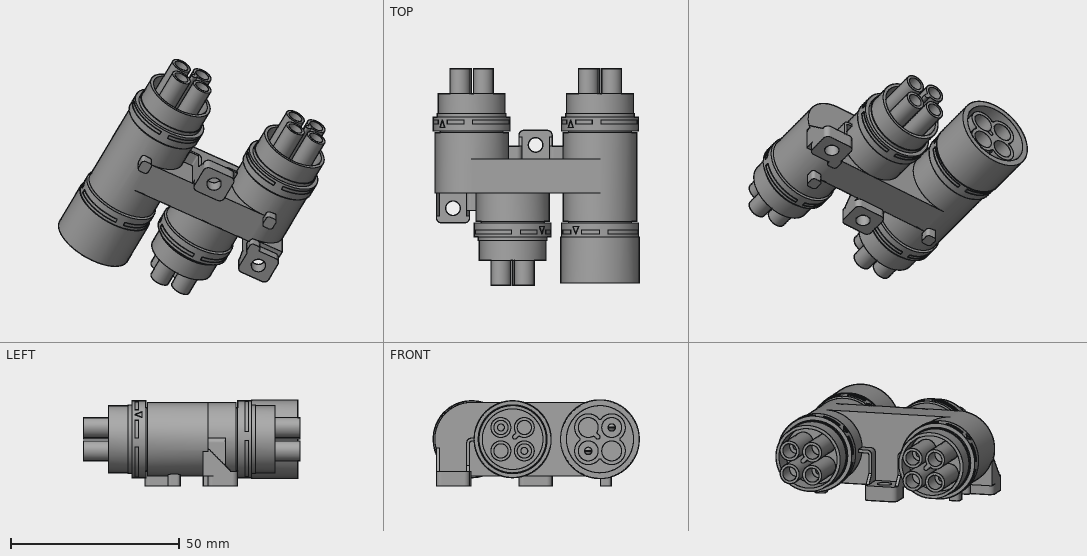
import cadquery as cq
import math

LEFT_X = 0.0
MIDDLE_X = 12.2
RIGHT_X = 38.2

TUBE_RADIUS = 10.95
BRIDGE_DEPTH = 10.05
BACK_LENGTH = 18.0
FRONT_LENGTH = 8.45

OVERLAP = 0.65

NECK_RADIUS = 9.4
COLLAR_RADIUS = 11.5
COLLAR_START = 0.45
COLLAR_END = 4.6
RING_RADIUS = 10.25
RING_END = 5.7
SLEEVE_RADIUS = 10.0
SLEEVE_BORE_RADIUS = 9.0
SLEEVE_END = 11.6
PIN_END = 19.0
SHROUD_RADIUS = 11.75
SHROUD_END = 18.4

PIN_OFFSET = 3.5
PIN_RADIUS = 2.95
PIN_BORE_RADIUS = 2.1
PIN_BORE_DEPTH = 7.1
CONTACT_BORE_RADIUS = 1.0
CONTACT_BORE_DEPTH = 3.2
KEY_RADIUS = 0.65

SHROUD_BORE_RADIUS = 10.0
SHROUD_BORE_DEPTH = 7.1
INSERT_RECESS = 1.2
LOBE_RADIUS = 4.05
WEB_REACH = 5.95
WEB_WIDTH = 0.8
PIN_HOLE_DEPTH = 12.9
CONTACT_RADIUS = 1.1
CONTACT_TIP_ROUND = 0.95
CONTACT_LENGTH = 6.45
CONTACT_SLOT = 0.3

MARK_DEPTH = 0.2
MARK_START = 2.6
MARK_END = 3.7
MARK_HALF_ANGLE = 38.4
ARROW_GAP_HALF_ANGLE = 10.5
ARROW_START = 1.55
ARROW_HALF_WIDTH = 1.1
PLUG_ARROW_ANGLE = 40.0
SOCKET_ARROW_ANGLE = 129.3

FOOT_BOTTOM = -14.0
FOOT_TOP = -9.55
FOOT_WIDTH = 9.95
FOOT_LENGTH = 8.9
FOOT_CORNER = 1.55
FOOT_HOLE_RADIUS = 2.1
FOOT_HOLE_Y = 4.5
FRONT_FOOT_X = -5.55
BACK_FOOT_X = 19.0
BACK_FOOT_Y = 9.8
WALL = 0.9
GUSSET_LENGTH = 6.9
BACKING_TOP = -3.6
BACKING_DEPTH = 1.35
SHELF_TOP = 0.3
SHELF_REACH = 4.85
SHELF_BEND = 1.4
FRONT_SHELF_LENGTH = 5.2
BACK_SHELF_LENGTH = 4.1

POST_WIDTH = 3.3
POST_DEPTH = 3.75
POST_START_Y = 8.1
POST_CORNER = 0.95
POST_INSET = 0.1
POST_TOP = -9.7


def rod(radius, start, end, x=0.0, z=0.0):
    """Cylinder along -Y, from `start` to `end` in front of y = 0."""
    return cq.Workplane("XZ", origin=(x, -start, z)).circle(radius).extrude(end - start)


def box(x0, x1, y0, y1, z0, z1):
    return cq.Workplane("XY").box(x1 - x0, y1 - y0, z1 - z0, centered=False).translate((x0, y0, z0))


def pin_places():
    return [(x, z) for x in (-PIN_OFFSET, PIN_OFFSET) for z in (-PIN_OFFSET, PIN_OFFSET)]


def has_contact(x, z):
    """Only the pins on one diagonal carry a contact."""
    return x * z < 0


def key(side, start, end):
    """Round-ended rib from the upper pin on the given side (-1 or 1) towards the axis."""
    length = (PIN_OFFSET - KEY_RADIUS) * math.sqrt(2)
    middle = (PIN_OFFSET + KEY_RADIUS) / 2
    return (
        cq.Workplane("XZ", origin=(side * middle, -start, middle))
        .transformed(rotate=(0, 0, side * 45))
        .slot2D(length + 2 * KEY_RADIUS, 2 * KEY_RADIUS)
        .extrude(end - start)
    )


def arc_mark(first_angle, last_angle):
    """Cutter for a groove in the collar between two angles, in degrees from +X towards +Z."""
    outer = COLLAR_RADIUS + OVERLAP
    inner = COLLAR_RADIUS - MARK_DEPTH
    middle_angle = (first_angle + last_angle) / 2

    def at(radius, angle):
        return (radius * math.cos(math.radians(angle)), radius * math.sin(math.radians(angle)))

    return (
        cq.Workplane("XZ", origin=(0, -MARK_START, 0))
        .moveTo(*at(inner, first_angle))
        .threePointArc(at(inner, middle_angle), at(inner, last_angle))
        .lineTo(*at(outer, last_angle))
        .threePointArc(at(outer, middle_angle), at(outer, first_angle))
        .close()
        .extrude(MARK_END - MARK_START)
    )


def arrow_mark(angle):
    """Cutter for an arrowhead in the collar that points away from the tube."""
    return (
        cq.Workplane("XY", origin=(0, 0, COLLAR_RADIUS - MARK_DEPTH))
        .polyline([
            (-ARROW_HALF_WIDTH, -ARROW_START),
            (ARROW_HALF_WIDTH, -ARROW_START),
            (0, -MARK_END),
        ])
        .close()
        .extrude(OVERLAP)
        .rotate((0, 0, 0), (0, 1, 0), 90 - angle)
    )


def marked_collar(arrow_angle):
    """Neck and collar, engraved with its four arcs and the arrowhead."""
    collar = rod(NECK_RADIUS, -OVERLAP, COLLAR_START)
    collar = collar.union(rod(COLLAR_RADIUS, COLLAR_START, COLLAR_END))
    for quarter in (90, 180, 270):
        middle = arrow_angle + quarter
        collar = collar.cut(arc_mark(middle - MARK_HALF_ANGLE, middle + MARK_HALF_ANGLE))
    collar = collar.cut(arc_mark(arrow_angle - MARK_HALF_ANGLE, arrow_angle - ARROW_GAP_HALF_ANGLE))
    collar = collar.cut(arc_mark(arrow_angle + ARROW_GAP_HALF_ANGLE, arrow_angle + MARK_HALF_ANGLE))
    return collar.cut(arrow_mark(arrow_angle))


def plug():
    """Male end: a hollow sleeve around four bored pins. The tube ends at y = 0."""
    body = marked_collar(PLUG_ARROW_ANGLE)
    body = body.union(rod(RING_RADIUS, COLLAR_END, RING_END))
    body = body.union(rod(SLEEVE_RADIUS, RING_END, SLEEVE_END))
    body = body.cut(rod(SLEEVE_BORE_RADIUS, COLLAR_END, SLEEVE_END))
    for x, z in pin_places():
        body = body.union(rod(PIN_RADIUS, COLLAR_END, PIN_END, x, z))
    body = body.union(key(1, COLLAR_END, PIN_END))
    bore_floor = PIN_END - PIN_BORE_DEPTH
    for x, z in pin_places():
        body = body.cut(rod(PIN_BORE_RADIUS, bore_floor, PIN_END, x, z))
        if has_contact(x, z):
            body = body.cut(rod(CONTACT_BORE_RADIUS, bore_floor - CONTACT_BORE_DEPTH, bore_floor, x, z))
    return body


def contact(floor, x, z):
    """Round-tipped contact with a slot across its tip."""
    tip = floor + CONTACT_LENGTH
    pin = rod(CONTACT_RADIUS, floor, tip, x, z).faces("<Y").edges().fillet(CONTACT_TIP_ROUND)
    slot = box(
        x - CONTACT_RADIUS, x + CONTACT_RADIUS,
        -tip, -tip + 2 * CONTACT_RADIUS,
        z - CONTACT_SLOT / 2, z + CONTACT_SLOT / 2,
    )
    return pin.cut(slot)


def socket():
    """Female end: a shroud around a four-lobed insert with pin holes. The tube ends at y = 0."""
    body = marked_collar(SOCKET_ARROW_ANGLE).union(rod(SHROUD_RADIUS, COLLAR_END, SHROUD_END))
    bore_floor = SHROUD_END - SHROUD_BORE_DEPTH
    insert_end = SHROUD_END - INSERT_RECESS
    hole_floor = insert_end - PIN_HOLE_DEPTH
    body = body.cut(rod(SHROUD_BORE_RADIUS, bore_floor, SHROUD_END))

    half_web = WEB_WIDTH / 2
    webs_y = (-insert_end, -bore_floor)
    insert = box(-PIN_OFFSET, PIN_OFFSET, *webs_y, -PIN_OFFSET, PIN_OFFSET)
    insert = insert.union(box(-half_web, half_web, *webs_y, -WEB_REACH, WEB_REACH))
    insert = insert.union(box(-WEB_REACH, WEB_REACH, *webs_y, -half_web, half_web))
    for x, z in pin_places():
        insert = insert.union(rod(LOBE_RADIUS, bore_floor, insert_end, x, z))
    body = body.union(insert)

    for x, z in pin_places():
        body = body.cut(rod(PIN_RADIUS, hole_floor, insert_end, x, z))
    body = body.cut(key(-1, hole_floor, insert_end))
    for x, z in pin_places():
        if not has_contact(x, z):
            body = body.union(contact(hole_floor, x, z))
    return body


def bent_wall(side, length):
    """Foot wall that rises from one side of the foot and bends outwards into a shelf, with its gusset."""
    outer_x = side * FOOT_WIDTH / 2
    inner_x = outer_x - side * WALL
    shelf_x = inner_x + side * SHELF_REACH
    inner_bend = SHELF_BEND - WALL
    bend_x = inner_x + side * SHELF_BEND
    bend_z = SHELF_TOP - SHELF_BEND
    diagonal = math.sqrt(0.5)
    wall = (
        cq.Workplane("XZ")
        .moveTo(outer_x, FOOT_TOP)
        .lineTo(inner_x, FOOT_TOP)
        .lineTo(inner_x, bend_z)
        .threePointArc(
            (bend_x - side * SHELF_BEND * diagonal, bend_z + SHELF_BEND * diagonal),
            (bend_x, SHELF_TOP),
        )
        .lineTo(shelf_x, SHELF_TOP)
        .lineTo(shelf_x, SHELF_TOP - WALL)
        .lineTo(bend_x, SHELF_TOP - WALL)
        .threePointArc(
            (bend_x - side * inner_bend * diagonal, bend_z + inner_bend * diagonal),
            (outer_x, bend_z),
        )
        .close()
        .extrude(length)
    )
    return wall.union(gusset(side))


def gusset(side):
    """45 degree triangle on one side of the foot."""
    start_x = FOOT_WIDTH / 2 - WALL if side > 0 else -FOOT_WIDTH / 2
    return (
        cq.Workplane("YZ", origin=(start_x, 0, 0))
        .polyline([(0, FOOT_TOP), (-GUSSET_LENGTH, FOOT_TOP), (0, FOOT_TOP + GUSSET_LENGTH)])
        .close()
        .extrude(WALL)
    )


def foot_slab():
    """Drilled slab of a foot in front of the plane y = 0; all four corners are round below the bridge."""
    half_width = FOOT_WIDTH / 2
    upper = box(-half_width, half_width, -FOOT_LENGTH, 0, -TUBE_RADIUS, FOOT_TOP)
    upper = upper.edges("|Z and <Y").fillet(FOOT_CORNER)
    lower = box(-half_width, half_width, -FOOT_LENGTH, 0, FOOT_BOTTOM, -TUBE_RADIUS)
    lower = lower.edges("|Z").fillet(FOOT_CORNER)
    return upper.union(lower).cut(
        cq.Workplane("XY", origin=(0, -FOOT_HOLE_Y, FOOT_BOTTOM))
        .circle(FOOT_HOLE_RADIUS)
        .extrude(FOOT_TOP - FOOT_BOTTOM)
    )


def front_foot():
    """Foot beside the middle tube, backed by a solid corner under the left tube."""
    half_width = FOOT_WIDTH / 2
    foot = foot_slab().union(bent_wall(1, FRONT_SHELF_LENGTH)).union(gusset(-1))
    backing = box(-half_width, half_width, 0, BACKING_DEPTH, -TUBE_RADIUS, BACKING_TOP)
    foot = foot.union(backing)
    return foot.translate((FRONT_FOOT_X, 0, 0))


def back_foot():
    """Foot between the outer tubes, with a shelf on both sides."""
    foot = foot_slab()
    for side in (-1, 1):
        foot = foot.union(bent_wall(side, BACK_SHELF_LENGTH))
    return foot.rotate((0, 0, 0), (0, 0, 1), 180).translate((BACK_FOOT_X, BACK_FOOT_Y, 0))


def post(start_x, start_y):
    block = box(start_x, start_x + POST_WIDTH, start_y, start_y + POST_DEPTH, FOOT_BOTTOM, POST_TOP)
    return block.edges("|Z").fillet(POST_CORNER)


def on_front(end, x):
    return end.translate((x, -FRONT_LENGTH, 0))


def on_back(end, x):
    return end.rotate((0, 0, 0), (0, 0, 1), 180).translate((x, BACK_LENGTH, 0))


part = box(LEFT_X, RIGHT_X, 0, BRIDGE_DEPTH, -TUBE_RADIUS, TUBE_RADIUS)
part = part.union(rod(TUBE_RADIUS, -BACK_LENGTH, 0, LEFT_X))
part = part.union(rod(TUBE_RADIUS, -BRIDGE_DEPTH / 2, FRONT_LENGTH, MIDDLE_X))
part = part.union(rod(TUBE_RADIUS, -BACK_LENGTH, FRONT_LENGTH, RIGHT_X))

part = part.union(front_foot()).union(back_foot())
left_post_x = LEFT_X - POST_INSET - POST_WIDTH
part = part.union(post(left_post_x, POST_START_Y))
heel_post_y = BACKING_DEPTH - POST_DEPTH
part = part.union(post(left_post_x, heel_post_y))
part = part.union(post(RIGHT_X + POST_INSET, POST_START_Y))

part = part.union(on_back(plug(), LEFT_X))
part = part.union(on_back(plug(), RIGHT_X))
part = part.union(on_front(plug(), MIDDLE_X))
part = part.union(on_front(socket(), RIGHT_X))

result = part